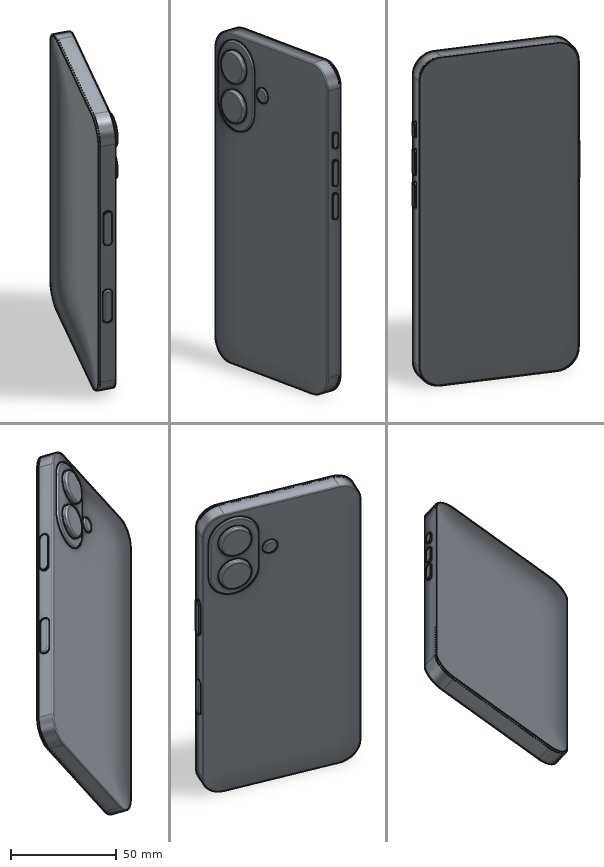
import cadquery as cq


overall_width = 83.11
height = 166.68
button_rise = 1.0
width = overall_width - 2 * button_rise
corner_radius = 11.2
edge_round = 0.55

overall_depth = 12.2
thickness = 8.8
screen_thickness = 1.0
plate_rise = 1.0
lens_rise = overall_depth - thickness - plate_rise

plate_width = 25.7
lens_spacing = 19.8
lens_diameter = 16.5
lens_round = 1.1
flash_diameter = 7.7
island_round = 0.95
island_x = 24.6
flash_x = 6.0
island_z = height / 2 - 25.85

left_buttons = [(8.0, 36.9), (13.1, 53.4), (13.1, 70.0)]
left_button_width = 3.0
power_button = (20.4, 61.7)
power_button_width = 4.1
camera_button = (20.1, 109.6)
camera_button_width = 4.8
camera_button_round = 0.95
button_y = thickness / 2


def plane_facing_back(y):
    """Plane at depth y whose normal points to +Y and whose local vertical is Z."""
    return cq.Plane(origin=(0, y, 0), xDir=(-1, 0, 0), normal=(0, 1, 0))


def rounded_slab(inset, depth):
    """Slab rising from the front surface, its outline set in from the phone outline by inset."""
    slab = (
        cq.Workplane(plane_facing_back(0))
        .rect(width - 2 * inset, height - 2 * inset)
        .extrude(depth)
    )
    return slab.edges("|Y").fillet(corner_radius - inset)


def make_screen():
    """Glass pane that fills the flat front, inside the rounded edge of the housing."""
    return rounded_slab(edge_round, screen_thickness)


def disc(x, z, diameter, base_y, rise, rounding):
    """Round boss standing on the plane y = base_y, with its outer edge rounded."""
    boss = cq.Workplane(plane_facing_back(base_y)).center(-x, z).circle(diameter / 2).extrude(rise)
    return boss.faces(">Y").edges().fillet(rounding)


def make_flash():
    return disc(flash_x, island_z, flash_diameter, thickness, plate_rise, island_round)


def make_lens(z):
    return disc(island_x, z, lens_diameter, thickness + plate_rise, lens_rise, lens_round)


def make_camera_plate():
    plate = (
        cq.Workplane(plane_facing_back(thickness))
        .center(-island_x, island_z)
        .slot2D(lens_spacing + plate_width, plate_width, 90)
        .extrude(plate_rise)
    )
    return plate.faces(">Y").edges().fillet(island_round)


def make_button(side, size, button_width):
    """Pill-shaped button on the side wall facing +X (side = 1) or -X (side = -1)."""
    length, drop = size
    wall = cq.Plane(
        origin=(side * width / 2, button_y, height / 2 - drop), xDir=(0, 1, 0), normal=(side, 0, 0)
    )
    return cq.Workplane(wall).slot2D(length, button_width, 90).extrude(button_rise)


def make_camera_button():
    button = make_button(1, camera_button, camera_button_width)
    return button.faces(">X").edges().fillet(camera_button_round)


def make_housing():
    housing = rounded_slab(0, thickness).faces("<Y or >Y").edges().fillet(edge_round)
    housing = housing.cut(make_screen())
    housing = housing.union(make_camera_plate())
    housing = housing.union(make_flash())
    for end in (-1, 1):
        housing = housing.union(make_lens(island_z + end * lens_spacing / 2))
    for size in left_buttons:
        housing = housing.union(make_button(-1, size, left_button_width))
    housing = housing.union(make_button(1, power_button, power_button_width))
    housing = housing.union(make_camera_button())
    return housing


housing = make_housing()
screen = make_screen()

result = cq.Compound.makeCompound([housing.solids().val(), screen.solids().val()])